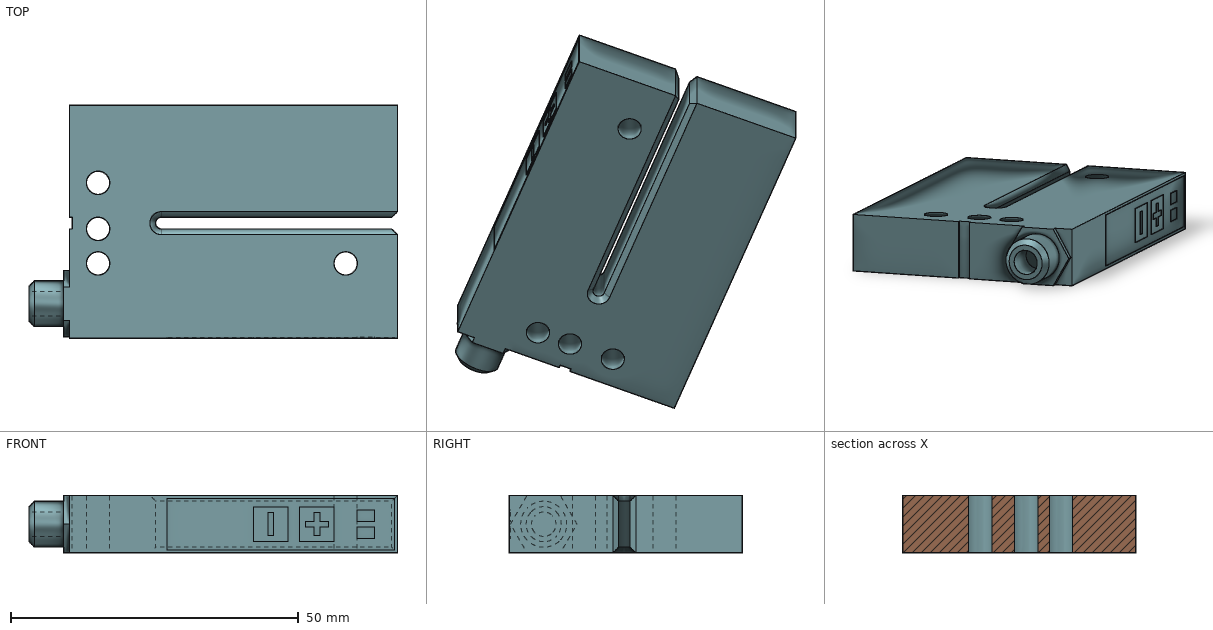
import cadquery as cq

BODY_LENGTH = 57.0
BODY_WIDTH = 40.5
BODY_HEIGHT = 10.0
MID_HEIGHT = BODY_HEIGHT / 2

SLOT_Y = 20.0
SLOT_WIDTH = 2.0
SLOT_CHAMFER = 1.0
SLOT_BEVEL_ANGLE = 45.0
SLOT_END_X = 15.0

HOLE_DIAMETER = 4.0
HOLE_CENTERS = [(5.0, 13.0), (5.0, 19.0), (5.0, 27.0), (48.0, 13.0)]

NOTCH_WIDTH = SLOT_WIDTH
NOTCH_DEPTH = 0.5

CONNECTOR_Y = 6.0
NUT_ACROSS_FLATS = BODY_HEIGHT
NUT_THICKNESS = 1.0
NUT_TURN = 30.0
BARREL_DIAMETER = 8.0
BARREL_LENGTH = 6.0
BARREL_CHAMFER = 0.95
BORE_DIAMETER = 4.25
BORE_DEPTH = BARREL_LENGTH

PANEL_MARGIN = 0.5
PANEL_LENGTH = 39.5
PANEL_HEIGHT = BODY_HEIGHT - 2 * PANEL_MARGIN
PANEL_DEPTH = 0.1
PANEL_X = BODY_LENGTH - PANEL_MARGIN - PANEL_LENGTH / 2

KEY_SIZE = 6.0
MINUS_KEY_X = 35.0
PLUS_KEY_X = 43.0
KEY_RISE = PANEL_DEPTH
SYMBOL_LENGTH = 4.0
SYMBOL_STROKE = 1.0
SYMBOL_DEPTH = 0.1
LIGHT_LENGTH = 3.0
LIGHT_HEIGHT = 2.0
LIGHT_X = 51.5
LIGHT_PITCH = 3.0
LIGHT_DEPTH = 0.1


def make_housing():
    """Plain rectangular block."""
    return cq.Workplane("XY").box(BODY_LENGTH, BODY_WIDTH, BODY_HEIGHT, centered=False)


def slot_outline(z, half_width):
    """Round-ended slot outline at height z, running past the +X end."""
    center_x = SLOT_END_X + SLOT_WIDTH / 2
    return (
        cq.Workplane("XY", origin=(0, SLOT_Y, z))
        .moveTo(BODY_LENGTH + SLOT_CHAMFER, half_width)
        .lineTo(center_x, half_width)
        .threePointArc((center_x - half_width, 0), (center_x, -half_width))
        .lineTo(BODY_LENGTH + SLOT_CHAMFER, -half_width)
        .close()
    )


def make_slot():
    """Slot cutter with bevels along the top and bottom rims and a flared mouth."""
    narrow = SLOT_WIDTH / 2
    wide = narrow + SLOT_CHAMFER
    slot = slot_outline(0, narrow).extrude(BODY_HEIGHT)
    top_bevel = slot_outline(BODY_HEIGHT, wide).extrude(-SLOT_CHAMFER, taper=SLOT_BEVEL_ANGLE)
    bottom_bevel = slot_outline(0, wide).extrude(SLOT_CHAMFER, taper=SLOT_BEVEL_ANGLE)
    mouth = (
        cq.Workplane("XY", origin=(BODY_LENGTH, SLOT_Y, 0))
        .polyline([(-SLOT_CHAMFER, narrow), (0, wide), (0, -wide), (-SLOT_CHAMFER, -narrow)])
        .close()
        .extrude(BODY_HEIGHT)
    )
    return slot.union(top_bevel).union(bottom_bevel).union(mouth)


def make_holes():
    """Cutters for the mounting holes."""
    return cq.Workplane("XY").pushPoints(HOLE_CENTERS).circle(HOLE_DIAMETER / 2).extrude(BODY_HEIGHT)


def make_notch():
    """Cutter for the shallow full-height notch."""
    return (
        cq.Workplane("XY", origin=(0, SLOT_Y, 0))
        .rect(2 * NOTCH_DEPTH, NOTCH_WIDTH)
        .extrude(BODY_HEIGHT)
    )


def make_connector():
    """Hexagon nut and bored, bevelled barrel pointing along -X."""
    nut_center = cq.Vector(0, CONNECTOR_Y, MID_HEIGHT)
    nut_face = cq.Workplane("YZ", origin=nut_center)
    nut = (
        nut_face.polygon(6, NUT_ACROSS_FLATS, circumscribed=True)
        .extrude(-NUT_THICKNESS)
        .rotate(nut_center, nut_center + cq.Vector(1, 0, 0), NUT_TURN)
    )
    barrel_base = nut_face.workplane(offset=-NUT_THICKNESS)
    barrel = (
        barrel_base.circle(BARREL_DIAMETER / 2)
        .extrude(-BARREL_LENGTH)
        .faces("<X")
        .chamfer(BARREL_CHAMFER)
    )
    bore = (
        barrel_base.workplane(offset=-BARREL_LENGTH)
        .circle(BORE_DIAMETER / 2)
        .extrude(BORE_DEPTH)
    )
    return nut.union(barrel).cut(bore)


def panel_block(x, z, length, height, outer_y, inner_y):
    """Block centred at (x, z) on the panel, reaching from outer_y to inner_y."""
    return (
        cq.Workplane("XY")
        .box(length, inner_y - outer_y, height, centered=(True, False, True))
        .translate((x, outer_y, z))
    )


def add_panel(body):
    """Sink the panel, then add its sunken lights and its raised minus and plus keys."""
    body = body.cut(panel_block(PANEL_X, MID_HEIGHT, PANEL_LENGTH, PANEL_HEIGHT, 0, PANEL_DEPTH))

    light_y = PANEL_DEPTH + LIGHT_DEPTH
    for side in (-1, 1):
        light_z = MID_HEIGHT + side * LIGHT_PITCH / 2
        light = panel_block(LIGHT_X, light_z, LIGHT_LENGTH, LIGHT_HEIGHT, PANEL_DEPTH, light_y)
        body = body.cut(light)

    key_y = PANEL_DEPTH - KEY_RISE
    symbol_y = key_y + SYMBOL_DEPTH
    for key_x in (MINUS_KEY_X, PLUS_KEY_X):
        key = panel_block(key_x, MID_HEIGHT, KEY_SIZE, KEY_SIZE, key_y, PANEL_DEPTH)
        upright = panel_block(key_x, MID_HEIGHT, SYMBOL_STROKE, SYMBOL_LENGTH, key_y, symbol_y)
        body = body.union(key).cut(upright)
    crossbar = panel_block(PLUS_KEY_X, MID_HEIGHT, SYMBOL_LENGTH, SYMBOL_STROKE, key_y, symbol_y)
    return body.cut(crossbar)


housing = make_housing().cut(make_slot()).cut(make_holes()).cut(make_notch())
result = add_panel(housing).union(make_connector())